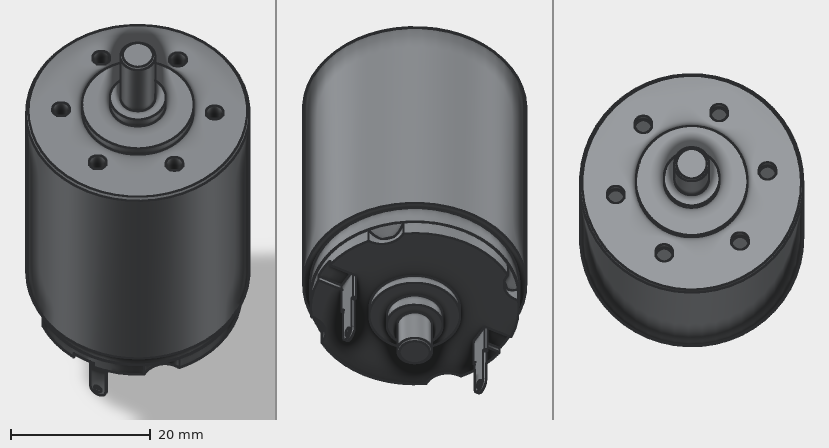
import cadquery as cq
import math

SHAFT_TOP = 66.6
FRONT_BUSH_TOP = 56.75
PILOT_TOP = 55.15
CAN_TOP = 53.7
CAN_BOTTOM = 16.7
BAND_BOTTOM = 13.9
NOTCH_CONE_BOTTOM = 12.6
CAP_BOTTOM = 11.6
COLLAR_BOTTOM = 10.1
REAR_BUSH_BOTTOM = 8.2
SHAFT_BOTTOM = 2.5

SHAFT_DIAMETER = 5.0
BUSH_DIAMETER = 8.0
PILOT_DIAMETER = 16.0
CAN_DIAMETER = 32.0
BAND_DIAMETER = 30.0
CAP_DIAMETER = 29.8
COLLAR_DIAMETER = 13.0

SHAFT_CHAMFER = 0.3
CAN_CHAMFER_WIDTH = 0.3
CAN_CHAMFER_HEIGHT = 0.5

HOLE_COUNT = 6
HOLE_DIAMETER = 2.5
HOLE_CIRCLE_DIAMETER = 22.0
HOLE_DEPTH = 3.0

NOTCH_COUNT = 4
NOTCH_WIDTH = 5.2
NOTCH_DEPTH = 1.45
NOTCH_CONE_DIAMETER = 27.1

TERMINAL_OFFSET = 10.7
TERMINAL_THICKNESS = 0.5
TERMINAL_WIDTH = 3.4
TERMINAL_TIP_WIDTH = 2.5
TERMINAL_SHOULDER = 7.0
TERMINAL_HOLE_DIAMETER = 1.2
SLOT_TOP = 12.45


def cylinder(diameter, bottom, top):
    """Cylinder on the motor axis between two heights."""
    return cq.Workplane("XY").workplane(offset=bottom).circle(diameter / 2).extrude(top - bottom)


def make_can():
    """Housing with a chamfered front edge and a ring of mounting holes."""
    can = cylinder(CAN_DIAMETER, CAN_BOTTOM, CAN_TOP)
    can = can.faces(">Z").chamfer(CAN_CHAMFER_HEIGHT, CAN_CHAMFER_WIDTH)
    holes = (
        cq.Workplane("XY")
        .workplane(offset=CAN_TOP - HOLE_DEPTH)
        .polarArray(HOLE_CIRCLE_DIAMETER / 2, 90, 360, HOLE_COUNT)
        .circle(HOLE_DIAMETER / 2)
        .extrude(HOLE_DEPTH)
    )
    return can.cut(holes)


def make_notches():
    """Scallop cutters whose upper end stops on a cone flaring out to the cap rim."""
    rim_radius = CAP_DIAMETER / 2
    half_width = NOTCH_WIDTH / 2
    chord_distance = math.sqrt(rim_radius**2 - half_width**2)
    floor_radius = rim_radius - NOTCH_DEPTH
    sagitta = chord_distance - floor_radius
    scallop_radius = (half_width**2 + sagitta**2) / (2 * sagitta)
    scallops = (
        cq.Workplane("XY")
        .workplane(offset=CAP_BOTTOM)
        .polarArray(floor_radius + scallop_radius, 45, 360, NOTCH_COUNT)
        .circle(scallop_radius)
        .extrude(BAND_BOTTOM - CAP_BOTTOM)
    )
    cone = (
        cq.Workplane("XY")
        .workplane(offset=NOTCH_CONE_BOTTOM)
        .circle(NOTCH_CONE_DIAMETER / 2)
        .workplane(offset=BAND_BOTTOM - NOTCH_CONE_BOTTOM)
        .circle(rim_radius)
        .loft()
    )
    return scallops.cut(cone)


def make_terminal_slots():
    """Slots running out from each terminal through the cap rim."""
    slot_length = CAP_DIAMETER / 2 - TERMINAL_OFFSET
    slot = cq.Workplane("XY").box(
        TERMINAL_WIDTH, slot_length, SLOT_TOP - CAP_BOTTOM, centered=(True, False, False)
    ).translate((0, TERMINAL_OFFSET, CAP_BOTTOM))
    return slot.union(slot.mirror("XZ"))


def make_cap():
    """End cap with diagonal notches and terminal slots."""
    cap = cylinder(CAP_DIAMETER, CAP_BOTTOM, BAND_BOTTOM)
    return cap.cut(make_notches()).cut(make_terminal_slots())


def make_terminal():
    """Stepped flat tab with a rounded tip and a wire hole, centred on the XZ plane."""
    tip_radius = TERMINAL_TIP_WIDTH / 2
    half_width = TERMINAL_WIDTH / 2
    return (
        cq.Workplane("XZ")
        .moveTo(-half_width, BAND_BOTTOM)
        .lineTo(-half_width, TERMINAL_SHOULDER)
        .lineTo(-tip_radius, TERMINAL_SHOULDER)
        .lineTo(-tip_radius, tip_radius)
        .threePointArc((0, 0), (tip_radius, tip_radius))
        .lineTo(tip_radius, TERMINAL_SHOULDER)
        .lineTo(half_width, TERMINAL_SHOULDER)
        .lineTo(half_width, BAND_BOTTOM)
        .close()
        .moveTo(0, tip_radius)
        .circle(TERMINAL_HOLE_DIAMETER / 2)
        .extrude(TERMINAL_THICKNESS / 2, both=True)
    )


shaft = cylinder(SHAFT_DIAMETER, SHAFT_BOTTOM, SHAFT_TOP).faces("<Z or >Z").chamfer(SHAFT_CHAMFER)

result = (
    make_can()
    .union(cylinder(BAND_DIAMETER, BAND_BOTTOM, CAN_BOTTOM))
    .union(make_cap())
    .union(cylinder(PILOT_DIAMETER, CAN_TOP, PILOT_TOP))
    .union(cylinder(COLLAR_DIAMETER, COLLAR_BOTTOM, CAP_BOTTOM))
    .union(cylinder(BUSH_DIAMETER, REAR_BUSH_BOTTOM, FRONT_BUSH_TOP))
    .union(shaft)
)
for side in (-1, 1):
    result = result.union(make_terminal().translate((0, side * TERMINAL_OFFSET, 0)))